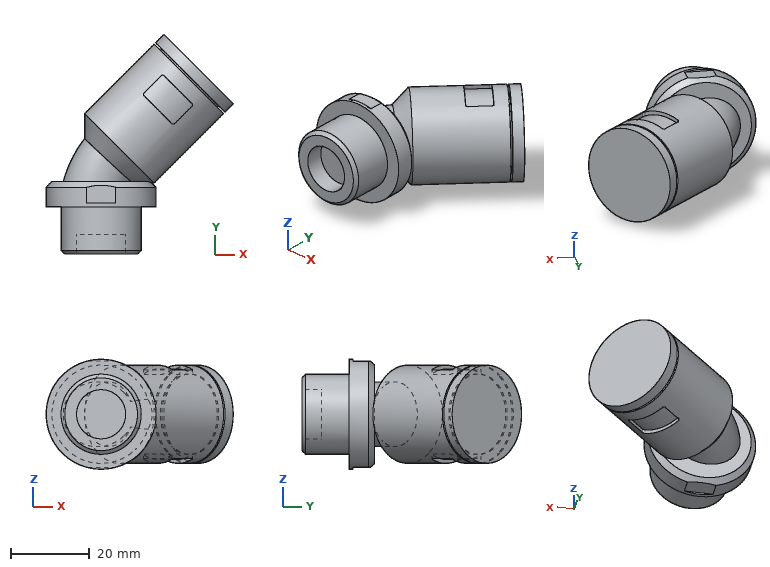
import cadquery as cq

SPIGOT_DIAMETER = 20.4
SPIGOT_LENGTH = 12.0
SPIGOT_TIP_DIAMETER = 18.5
SPIGOT_CHAMFER = (SPIGOT_DIAMETER - SPIGOT_TIP_DIAMETER) / 2
BORE_DIAMETER = 12.5
BORE_DEPTH = 5.0

FLANGE_DIAMETER = 28.0
FLANGE_TOP = 18.5
FLANGE_CHAMFER = 1.5
FLAT_DISTANCE = 13.5
FLAT_START = 13.0

ARM_ANGLE = 45.0
JOINT_HEIGHT = 22.27
ARM_DIAMETER = 25.0
ARM_START = 6.53
ARM_LENGTH = 28.5
ARM_END = ARM_START + ARM_LENGTH
CONE_LENGTH = 5.5
RING_LENGTH = 3.0
GROOVE_WIDTH = 0.5
GROOVE_DIAMETER = 20.5

POCKET_LENGTH = 7.2
POCKET_WIDTH = 11.0
POCKET_DEPTH = 1.0
POCKET_TO_END = 7.4
POCKET_CORNER_RADIUS = 0.5

NECK_DIAMETER = 16.5
NECK_BEND_RADIUS = 23.0
NECK_ARM_DISTANCE = 6.0
NECK_SWEEP_ANGLE = 37.0


def disc(diameter, start, end):
    """Cylinder on the Y axis between two heights."""
    return cq.Workplane("XZ", origin=(0, start, 0)).circle(diameter / 2).extrude(start - end)


def place_on_arm(body):
    """Move a body built on the Y axis onto the arm axis."""
    turned = body.rotate((0, 0, 0), (0, 0, 1), -ARM_ANGLE)
    return turned.translate((0, JOINT_HEIGHT, 0))


def make_spigot():
    return disc(SPIGOT_DIAMETER, 0, SPIGOT_LENGTH).faces("<Y").chamfer(SPIGOT_CHAMFER)


def make_flange():
    flange = disc(FLANGE_DIAMETER, SPIGOT_LENGTH, FLANGE_TOP)
    flange = flange.faces(">Y").chamfer(FLANGE_CHAMFER)
    flat_height = FLANGE_TOP - FLAT_START
    for side in (1, -1):
        cutter = cq.Workplane("XY").box(FLANGE_DIAMETER, flat_height, FLANGE_DIAMETER)
        cutter_z = side * (FLAT_DISTANCE + FLANGE_DIAMETER / 2)
        flange = flange.cut(cutter.translate((0, FLAT_START + flat_height / 2, cutter_z)))
    return flange


def make_neck():
    """Round tube bent about a Z axis, ending tangent to the arm direction."""
    tube_section = cq.Workplane("XZ", origin=(0, NECK_ARM_DISTANCE, 0)).circle(NECK_DIAMETER / 2)
    neck = tube_section.revolve(NECK_SWEEP_ANGLE, (NECK_BEND_RADIUS, 0, 0), (NECK_BEND_RADIUS, 1, 0))
    return place_on_arm(neck)


def make_pocket_cutters():
    """Rounded blocks on +Z and -Z, hollowed so that the pocket floor follows the arm."""
    center = ARM_END - POCKET_TO_END - POCKET_LENGTH / 2
    block = cq.Workplane("XY", origin=(0, center, 0)).rect(POCKET_WIDTH, POCKET_LENGTH)
    block = block.extrude(ARM_DIAMETER / 2, both=True).edges("|Z").fillet(POCKET_CORNER_RADIUS)
    return block.cut(disc(ARM_DIAMETER - 2 * POCKET_DEPTH, ARM_START, ARM_END))


def make_arm():
    arm_radius = ARM_DIAMETER / 2
    groove_radius = GROOVE_DIAMETER / 2
    ring_start = ARM_END - RING_LENGTH
    profile = [
        (0, ARM_START - CONE_LENGTH),
        (arm_radius - CONE_LENGTH, ARM_START - CONE_LENGTH),
        (arm_radius, ARM_START),
        (arm_radius, ring_start - GROOVE_WIDTH),
        (groove_radius, ring_start - GROOVE_WIDTH),
        (groove_radius, ring_start),
        (arm_radius, ring_start),
        (arm_radius, ARM_END),
        (0, ARM_END),
    ]
    arm = cq.Workplane("XY").polyline(profile).close().revolve(360, (0, 0, 0), (0, 1, 0))
    return place_on_arm(arm.cut(make_pocket_cutters()))


result = make_spigot().union(make_flange()).union(make_neck()).union(make_arm())
result = result.cut(disc(BORE_DIAMETER, 0, BORE_DEPTH))